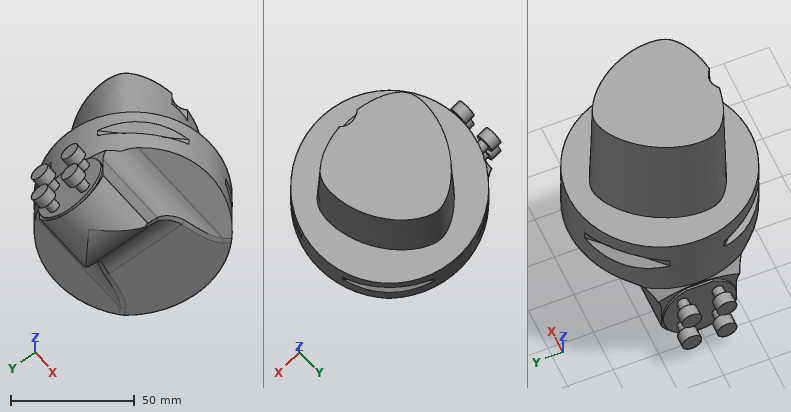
import cadquery as cq
import math

flange_radius = 80.0 / 2
rim_bottom = -25.0
underside_slope = math.radians(10)

shank_height = 48.4
shank_base_radius = 27.7
shank_taper = 1 / 40
lobe_height = 2.2
shank_points = 48

notch_radius = 7.0
notch_center_y = -28.9
notch_depth = 8.3

groove_z = -11.9
groove_floor_distance = 35.4
groove_floor_width = 3.4
groove_mouth_width = 9.0

neck_half_width = 16.4
neck_face_x = -40.1
neck_bottom = -61.9
neck_bottom_radius = 18.2
neck_side_fillet = 12.1
neck_back_fillet = 16.0
neck_toe_radius = 22.1
neck_back_tilt = math.radians(27.4)
neck_back_corner_x = 0.1
neck_back_chamfer = 1.1
shoulder_z = -29.7

pad_radius = 16.1
pad_thickness = 1.0
pad_z = neck_bottom + pad_radius
pad_flat_distance = 15.0
pad_top = pad_z + pad_flat_distance

screw_spacing = 15.4
screw_tip_x = flange_radius - 91.0
screw_head_length = 5.1
screw_head_diameter = 8.5
screw_shank_diameter = 5.0

margin = 11.0
pick_size = 1.1
reach = flange_radius + margin


def underside_z(distance):
    """Height of the sloped underside at a distance from the shank axis."""
    return rim_bottom - (flange_radius - distance) * math.tan(underside_slope)


def polygon_point(angle, mean_radius):
    """Point on a three-lobed curve of constant width, with one lobe toward +Y."""
    phase = 3 * (angle - math.pi / 2)
    support = mean_radius + lobe_height * math.cos(phase)
    slope = -3 * lobe_height * math.sin(phase)
    x = support * math.cos(angle) - slope * math.sin(angle)
    y = support * math.sin(angle) + slope * math.cos(angle)
    return x, y


def polygon_outline(mean_radius):
    angles = [2 * math.pi * i / shank_points for i in range(shank_points)]
    return [polygon_point(angle, mean_radius) for angle in angles]


def make_shank():
    top_radius = shank_base_radius - shank_height * shank_taper
    shank = (
        cq.Workplane("XY")
        .spline(polygon_outline(shank_base_radius), periodic=True).close()
        .workplane(offset=shank_height)
        .spline(polygon_outline(top_radius), periodic=True).close()
        .loft(ruled=True)
    )
    notch = (
        cq.Workplane("XY", origin=(0, notch_center_y, shank_height - notch_depth))
        .circle(notch_radius)
        .extrude(notch_depth + margin)
    )
    return shank.cut(notch)


def make_envelope():
    """Flange cylinder with the neck block, bounded outside it by a 45 degree cone."""
    height = -neck_bottom
    flange = cq.Workplane("XY").circle(flange_radius).extrude(-height)
    cone = (
        cq.Workplane("XZ")
        .polyline([
            (0, shoulder_z),
            (flange_radius, shoulder_z),
            (flange_radius - neck_bottom + shoulder_z, neck_bottom),
            (0, neck_bottom),
        ])
        .close()
        .revolve(360, (0, 0, 0), (0, 1, 0))
    )
    block = cq.Workplane("XY").box(
        -neck_face_x, 2 * flange_radius, height, centered=(False, True, False)
    ).translate((neck_face_x, 0, neck_bottom))
    return flange.union(cone.intersect(block))


def make_cross_profile():
    """Neck and flange outline across Y, extruded along X."""
    arc_rise = neck_bottom_radius - math.sqrt(neck_bottom_radius**2 - neck_half_width**2)
    side_bottom = neck_bottom + arc_rise
    side_top = underside_z(neck_half_width)
    profile = (
        cq.Workplane("YZ")
        .moveTo(-reach, 0)
        .lineTo(-reach, underside_z(reach))
        .lineTo(-neck_half_width, side_top)
        .lineTo(-neck_half_width, side_bottom)
        .threePointArc((0, neck_bottom), (neck_half_width, side_bottom))
        .lineTo(neck_half_width, side_top)
        .lineTo(reach, underside_z(reach))
        .lineTo(reach, 0)
        .close()
        .extrude(reach, both=True)
    )
    corner = cq.selectors.BoxSelector(
        (-margin, -neck_half_width - pick_size, side_top - pick_size),
        (margin, neck_half_width + pick_size, side_top + pick_size),
    )
    return profile.edges("|X").edges(corner).fillet(neck_side_fillet)


def make_long_profile():
    """Neck and flange outline along X, extruded along Y."""
    corner_z = underside_z(neck_back_corner_x)
    toe_x = neck_back_corner_x - (corner_z - neck_bottom) * math.tan(neck_back_tilt)
    profile = (
        cq.Workplane("XZ")
        .polyline([
            (-reach, 0),
            (-reach, neck_bottom),
            (toe_x, neck_bottom),
            (neck_back_corner_x, corner_z),
            (reach, underside_z(reach)),
            (reach, 0),
        ])
        .close()
        .extrude(reach, both=True)
    )

    def edge_at(x, z):
        return cq.selectors.BoxSelector(
            (x - pick_size, -margin, z - pick_size),
            (x + pick_size, margin, z + pick_size),
        )

    profile = profile.edges("|Y").edges(edge_at(toe_x, neck_bottom)).fillet(neck_toe_radius)
    return profile.edges("|Y").edges(edge_at(neck_back_corner_x, corner_z)).fillet(neck_back_fillet)


def make_body():
    body = make_envelope().intersect(make_cross_profile()).intersect(make_long_profile())
    back_direction = cq.Vector(math.sin(neck_back_tilt), 0, math.cos(neck_back_tilt))
    back_edges = cq.selectors.ParallelDirSelector(back_direction, 0.01)
    return body.edges(back_edges).chamfer(neck_back_chamfer)


def make_groove(angle):
    """Tapered gripper groove across the flange rim."""
    depth = flange_radius - groove_floor_distance
    overshoot = 1.1
    flare = (groove_mouth_width - groove_floor_width) / 2 / depth
    outer = flange_radius + overshoot
    floor_half = groove_floor_width / 2
    outer_half = groove_mouth_width / 2 + flare * overshoot
    return (
        cq.Workplane("XZ")
        .polyline([
            (groove_floor_distance, groove_z - floor_half),
            (outer, groove_z - outer_half),
            (outer, groove_z + outer_half),
            (groove_floor_distance, groove_z + floor_half),
        ])
        .close()
        .extrude(flange_radius, both=True)
        .rotate((0, 0, 0), (0, 0, 1), angle)
    )


def make_pad():
    """Round pad on the neck face, with a flat top."""
    pad = cq.Workplane("YZ", origin=(neck_face_x, 0, pad_z)).circle(pad_radius).extrude(-pad_thickness)
    trim = cq.Workplane("XY", origin=(neck_face_x, 0, pad_top)).box(
        2 * pad_thickness, 2 * pad_radius, margin, centered=(True, True, False)
    )
    return pad.cut(trim)


def make_screws():
    screw_length = neck_face_x - screw_tip_x
    places = cq.Workplane("YZ", origin=(screw_tip_x, 0, pad_z)).rarray(
        screw_spacing, screw_spacing, 2, 2
    )
    heads = places.circle(screw_head_diameter / 2).extrude(screw_head_length)
    shanks = places.circle(screw_shank_diameter / 2).extrude(screw_length)
    return heads.union(shanks)


body = make_body()
for groove_angle in (45, 135, 225, 315):
    body = body.cut(make_groove(groove_angle))

result = body.union(make_shank()).union(make_pad()).union(make_screws())